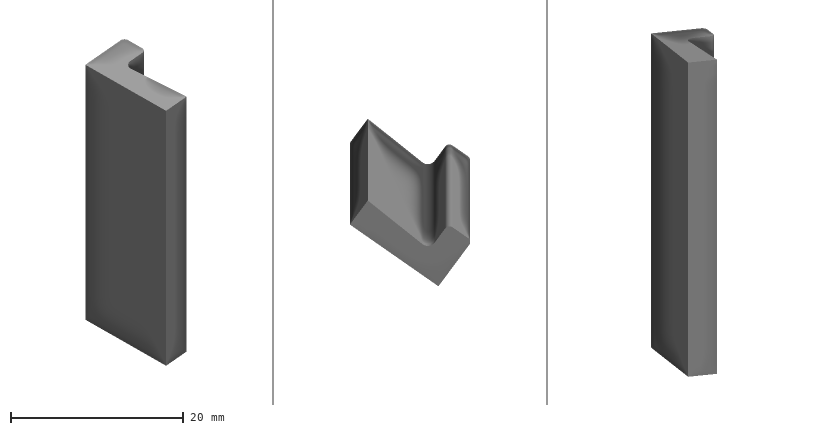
import cadquery as cq

width = 12.68
depth = 6.71
height = 38.1

lip_width = 3.42
root_thickness = 2.95
tip_thickness = 3.56
lip_edge_radius = 0.6
root_radius = 1.0

profile = [
    (0, 0),
    (width, 0),
    (width, tip_thickness),
    (lip_width, root_thickness),
    (lip_width, depth),
    (0, depth),
]


def vertical_edge_at(x, y):
    """Select the vertical edge passing through (x, y)."""
    return cq.selectors.NearestToPointSelector((x, y, height / 2))


bar = cq.Workplane("XY").polyline(profile).close().extrude(height)

bar = bar.edges(vertical_edge_at(lip_width, root_thickness)).fillet(root_radius)
for x in (0, lip_width):
    bar = bar.edges(vertical_edge_at(x, depth)).fillet(lip_edge_radius)

result = bar